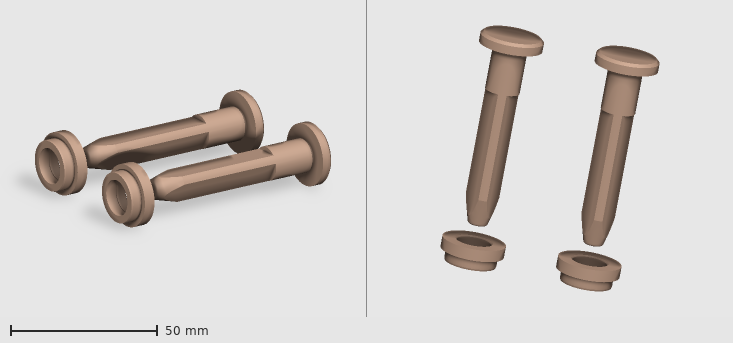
import cadquery as cq
import math

SET_PITCH = 40.0
FLANGE_DIAMETER = 22.0
FLANGE_RADIUS = FLANGE_DIAMETER / 2
FLANGE_THICKNESS = 4.0

HEAD_CHAMFER = 1.0
NECK_WIDTH = 1.0
NECK_RADIUS = 5.2
NECK_FILLET = 0.4
SHANK_RADIUS = 6.0
ROUND_END = 20.0
TAPER_START = 58.0
PIN_LENGTH = 68.0
TAPER_ANGLE = 15
TIP_FILLET = 1.0
FLAT_COUNT = 3
FLAT_DISTANCE = 4.2

BUSHING_START = 74.0
BUSHING_LENGTH = 8.0
BOSS_RADIUS = 9.0
LEAD_IN_LENGTH = 0.6
LEAD_IN_DEPTH = 0.2
UNDERCUT_DEPTH = 0.3
GUIDE_BORE_RADIUS = SHANK_RADIUS
BORE_ENTRY_CHAMFER = 0.5
RELIEF_BORE_RADIUS = 6.3
RELIEF_BORE_DEPTH = 4.0


def revolve_about_y(profile):
    """Turn a closed (radius, y) profile on the XY plane about the Y axis."""
    return profile.close().revolve(360, (0, 0, 0), (0, 1, 0))


def make_pin_blank():
    """Round pin: chamfered head, filleted neck, shank and tapered tip with a rounded edge."""
    neck_start = FLANGE_THICKNESS
    neck_end = neck_start + NECK_WIDTH
    tip_radius = SHANK_RADIUS - (PIN_LENGTH - TAPER_START) * math.tan(math.radians(TAPER_ANGLE))
    blank = revolve_about_y(
        cq.Workplane("XY")
        .lineTo(FLANGE_RADIUS - HEAD_CHAMFER, 0)
        .lineTo(FLANGE_RADIUS, -HEAD_CHAMFER)
        .lineTo(FLANGE_RADIUS, -neck_start)
        .lineTo(NECK_RADIUS + NECK_FILLET, -neck_start)
        .radiusArc((NECK_RADIUS, -neck_start - NECK_FILLET), -NECK_FILLET)
        .lineTo(NECK_RADIUS, -neck_end + NECK_FILLET)
        .radiusArc((NECK_RADIUS + NECK_FILLET, -neck_end), -NECK_FILLET)
        .lineTo(SHANK_RADIUS, -neck_end)
        .lineTo(SHANK_RADIUS, -TAPER_START)
        .lineTo(tip_radius, -PIN_LENGTH)
        .lineTo(0, -PIN_LENGTH)
    )
    return blank.faces("<Y").edges().fillet(TIP_FILLET)


def make_flat_cutter():
    """Block above the upper flat, reaching from the start of the flats past the tip."""
    width = 2 * SHANK_RADIUS
    return cq.Workplane("XY").box(
        width, PIN_LENGTH - ROUND_END, SHANK_RADIUS, centered=(True, False, False)
    ).translate((0, -PIN_LENGTH, FLAT_DISTANCE))


def make_pin():
    """Pin with equally spaced flats, the first one facing +Z."""
    pin = make_pin_blank()
    cutter = make_flat_cutter()
    for index in range(FLAT_COUNT):
        angle = index * 360 / FLAT_COUNT
        pin = pin.cut(cutter.rotate((0, 0, 0), (0, 1, 0), angle))
    return pin


def make_bushing():
    """Flanged bushing with an undercut at the boss root and a bore relieved from the boss end."""
    flange_end = BUSHING_START + FLANGE_THICKNESS
    bushing_end = BUSHING_START + BUSHING_LENGTH
    return revolve_about_y(
        cq.Workplane("XY")
        .moveTo(GUIDE_BORE_RADIUS, -BUSHING_START - BORE_ENTRY_CHAMFER)
        .lineTo(GUIDE_BORE_RADIUS + BORE_ENTRY_CHAMFER, -BUSHING_START)
        .lineTo(FLANGE_RADIUS, -BUSHING_START)
        .lineTo(FLANGE_RADIUS, -flange_end)
        .lineTo(BOSS_RADIUS + UNDERCUT_DEPTH, -flange_end)
        .lineTo(BOSS_RADIUS + UNDERCUT_DEPTH, -flange_end + UNDERCUT_DEPTH)
        .lineTo(BOSS_RADIUS - UNDERCUT_DEPTH, -flange_end + UNDERCUT_DEPTH)
        .lineTo(BOSS_RADIUS - UNDERCUT_DEPTH, -flange_end - UNDERCUT_DEPTH)
        .lineTo(BOSS_RADIUS, -flange_end - UNDERCUT_DEPTH)
        .lineTo(BOSS_RADIUS, -bushing_end + LEAD_IN_LENGTH)
        .lineTo(BOSS_RADIUS - LEAD_IN_DEPTH, -bushing_end)
        .lineTo(RELIEF_BORE_RADIUS, -bushing_end)
        .lineTo(RELIEF_BORE_RADIUS, -bushing_end + RELIEF_BORE_DEPTH)
        .lineTo(GUIDE_BORE_RADIUS, -bushing_end + RELIEF_BORE_DEPTH)
    )


bodies = []
for set_x in (-SET_PITCH / 2, SET_PITCH / 2):
    for body in (make_pin(), make_bushing()):
        bodies.append(body.translate((set_x, 0, 0)).val())

result = cq.Compound.makeCompound(bodies)